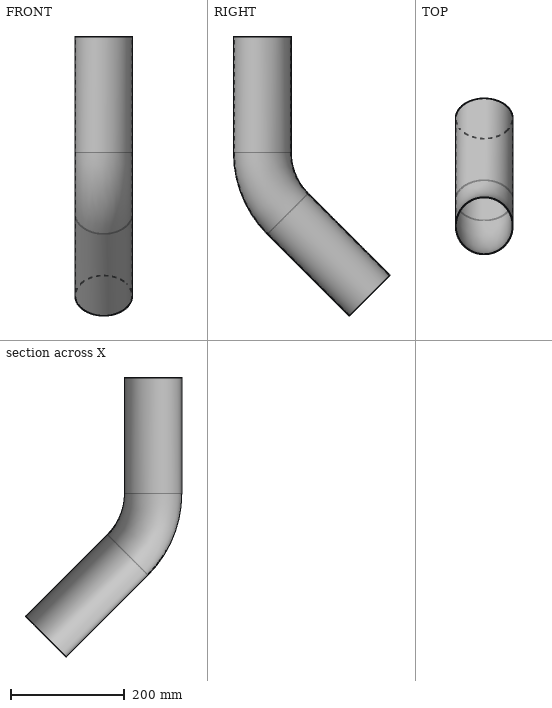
import cadquery as cq
import math

outer_diameter = 101.6
inner_diameter = 98.4
bend_angle = 45.0
bend_radius = 1.5 * outer_diameter
leg_length = 2.0 * outer_diameter


def point_on_bend(angle_degrees):
    """Centreline point (Y, Z) after turning by the given angle from vertical."""
    angle = math.radians(angle_degrees)
    return (bend_radius * (1 - math.cos(angle)), -bend_radius * math.sin(angle))


def make_centreline():
    """Path from the top opening, down the vertical leg and out towards +Y."""
    bend_middle = point_on_bend(bend_angle / 2)
    bend_end = point_on_bend(bend_angle)
    angle = math.radians(bend_angle)
    lower_end = (
        bend_end[0] + leg_length * math.sin(angle),
        bend_end[1] - leg_length * math.cos(angle),
    )
    return (
        cq.Workplane("YZ")
        .moveTo(0, leg_length)
        .lineTo(0, 0)
        .threePointArc(bend_middle, bend_end)
        .lineTo(*lower_end)
    )


def make_tube():
    """Sweep the ring section along the centreline; both ends are open."""
    ring = (
        cq.Workplane("XY", origin=(0, 0, leg_length))
        .circle(outer_diameter / 2)
        .circle(inner_diameter / 2)
    )
    return ring.sweep(make_centreline())


result = make_tube()